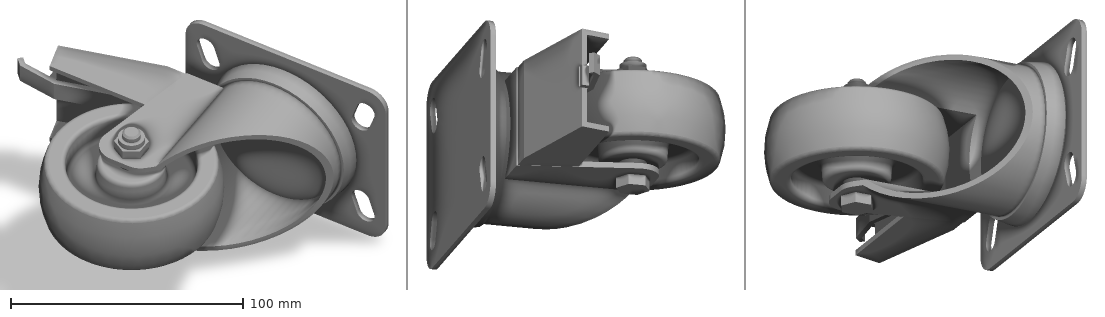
import cadquery as cq
import math


axle_offset = 39.0
mount_height = 67.0
axle_x = -axle_offset
axle_y = -mount_height

plate_length = 100.0
plate_width = 85.0
plate_thickness = 2.5
plate_corner_radius = 9.0
slot_width = 9.0
slot_outer = (40.0, 30.0)
slot_inner = (37.5, 22.5)

neck_diameter = 69.6
neck_height = 1.0
flare_diameter = 72.0
flare_height = 8.2
flare_foot_diameter = 69.2
cup_diameter = 66.0
cup_bore = 61.0

arm_thickness = 2.5
fork_width = 44.8
fork_inner_width = fork_width - 2 * arm_thickness
arm_end_radius = 10.0
arm_lean = 11.8
arm_top_left = -3.7
fork_top = 53.2
fork_roof = 3.5
skirt_angle = 43.1
skirt_shift = 4.6

brake_top_step = 0.5
brake_side_step = 0.1
brake_top = fork_top - brake_top_step
brake_width = fork_width - 2 * brake_side_step
brake_bottom = 27.0
brake_web = 2.5
brake_bend_x = -13.2
brake_slope = 15.0
brake_end_x = -60.4

pedal_width = 9.0
pedal_thickness = 2.5
pedal_bend = (-59.15, 34.7)
pedal_strip_length = 24.9
pedal_slope = 7.5
pedal_tip_slope = 46.0
pedal_tip_length = 4.8
overall_length = 170.0
hook_left = -63.4
hook_right = -60.6
hook_top = 41.2
hook_lip = 0.5
hook_ridge = 0.6

wheel_diameter = 80.0
wheel_width = 30.0
tread_radius = 40.0
rim_bore = 57.3
hub_diameter = 29.4
recess_draft = 5.0
web_thickness = 10.0
wheel_fillet = 2.0

spacer_diameter = 12.0
bolt_diameter = 8.0
hex_across_flats = 13.0
hex_height = 4.6
collar_diameter = 11.63
collar_height = 2.6
bolt_end = 32.5
bolt_chamfer = 0.9


def rise(run, degrees):
    """Height gained over a run on a slope."""
    return run * math.tan(math.radians(degrees))


def step(point, length, degrees):
    """Point reached from another by going a length in a direction."""
    angle = math.radians(degrees)
    return (point[0] + length * math.cos(angle), point[1] + length * math.sin(angle))


def slab(points, width):
    """Outline given from the axle, extruded evenly to both sides of the middle plane."""
    plane = cq.Workplane("XY", origin=(axle_x, axle_y, 0))
    return plane.polyline(points).close().extrude(width / 2, both=True)


def swivel_disc(diameter, top, height):
    """Cylinder on the swivel axis, going down (-Y) from a height."""
    return cq.Workplane("XZ", origin=(0, top, 0)).circle(diameter / 2).extrude(height)


def axle_disc(diameter, start, end):
    """Cylinder on the axle between two Z positions."""
    plane = cq.Workplane("XY", origin=(axle_x, axle_y, start))
    return plane.circle(diameter / 2).extrude(end - start)


flare_top = -plate_thickness - neck_height
flare_bottom = flare_top - flare_height
arm_top = axle_y + fork_top


def make_plate():
    plate = cq.Workplane("XZ").rect(plate_length, plate_width).extrude(plate_thickness)
    plate = plate.edges("|Y").fillet(plate_corner_radius)
    run = slot_outer[0] - slot_inner[0]
    climb = slot_outer[1] - slot_inner[1]
    middle_x = (slot_outer[0] + slot_inner[0]) / 2
    middle_z = (slot_outer[1] + slot_inner[1]) / 2
    slot_length = math.hypot(run, climb) + slot_width
    slot_tilt = math.degrees(math.atan2(climb, run))
    for side_x in (-1, 1):
        for side_z in (-1, 1):
            slot = (
                cq.Workplane("XZ")
                .center(side_x * middle_x, side_z * middle_z)
                .slot2D(slot_length, slot_width, side_x * side_z * slot_tilt)
                .extrude(plate_thickness)
            )
            plate = plate.cut(slot)
    return plate


def make_swivel_head():
    neck = swivel_disc(neck_diameter, -plate_thickness, neck_height)
    flare = (
        cq.Workplane("XZ", origin=(0, flare_top, 0))
        .circle(flare_diameter / 2)
        .workplane(offset=flare_height)
        .circle(flare_foot_diameter / 2)
        .loft()
    )
    cup_top = swivel_disc(cup_diameter, flare_bottom, flare_bottom - arm_top)
    return neck.union(flare).union(cup_top)


def make_fork():
    """Cup and two arms, trimmed to one side outline."""
    lean = math.radians(skirt_angle)
    drop = arm_end_radius / math.cos(lean)
    foot = -arm_end_radius
    cup_right = axle_offset + cup_diameter / 2
    skirt_foot_x = skirt_shift + (foot + drop) / math.tan(lean)
    skirt_right_y = rise(cup_right - skirt_shift, skirt_angle) - drop
    foot_left_x = arm_top_left - rise(fork_top - foot, arm_lean)
    outline = slab(
        [
            (arm_top_left, fork_top),
            (foot_left_x, foot),
            (skirt_foot_x, foot),
            (cup_right, skirt_right_y),
            (cup_right, fork_top),
        ],
        cup_diameter,
    )
    outline = outline.edges("|Z").edges("<Y").fillet(arm_end_radius)
    reach = fork_top - foot
    arms = slab(
        [(foot_left_x, foot), (axle_offset, foot), (axle_offset, fork_top), (foot_left_x, fork_top)],
        fork_width,
    )
    cup = swivel_disc(cup_diameter, arm_top, reach)
    return outline.intersect(arms.union(cup))


def make_brake_channel():
    end_y = brake_top - rise(brake_bend_x - brake_end_x, brake_slope)
    lip_x = brake_end_x + rise(end_y - brake_bottom, brake_slope)
    arm_edge_x = arm_top_left - rise(fork_top - brake_bottom, arm_lean)
    return slab(
        [
            (arm_top_left, brake_top),
            (brake_bend_x, brake_top),
            (brake_end_x, end_y),
            (lip_x, brake_bottom),
            (arm_edge_x, brake_bottom),
        ],
        brake_width,
    )


def make_hollow():
    """Space between the arms and inside the brake channel, with the cup's bore."""
    roof = fork_top - fork_roof
    web_drop = brake_web / math.cos(math.radians(brake_slope))
    bend_x = brake_bend_x - (brake_top - web_drop - roof) / math.tan(math.radians(brake_slope))
    far_left = 2 * brake_end_x
    between = slab(
        [
            (axle_offset, roof),
            (bend_x, roof),
            (far_left, roof - rise(bend_x - far_left, brake_slope)),
            (far_left, -mount_height),
            (axle_offset, -mount_height),
        ],
        fork_inner_width,
    )
    bore = swivel_disc(cup_bore, flare_bottom, mount_height)
    return between.union(bore)


def make_pedal():
    """Strip lying under the brake channel's web, running out into a bent foot lever."""
    tip_x = plate_length / 2 - overall_length - axle_x
    tip_run = pedal_tip_length * math.cos(math.radians(pedal_tip_slope))
    lever_run = pedal_bend[0] - tip_x - tip_run
    lower_knee = (tip_x + tip_run, pedal_bend[1] + rise(lever_run, pedal_slope))
    lower_tip = step(lower_knee, pedal_tip_length, 180 - pedal_tip_slope)
    upper_tip = step(lower_tip, pedal_thickness, 90 - pedal_tip_slope)
    half_bend = (pedal_tip_slope - pedal_slope) / 2
    knee_thickness = pedal_thickness / math.cos(math.radians(half_bend))
    upper_knee = step(lower_knee, knee_thickness, 90 - pedal_slope - half_bend)
    strip_end = step(pedal_bend, pedal_strip_length, brake_slope)
    strip_end_top = step(strip_end, pedal_thickness, 90 + brake_slope)
    strip_start_top = step(pedal_bend, pedal_thickness, 90 + brake_slope)
    hook_foot_y = upper_knee[1] - rise(hook_left - upper_knee[0], pedal_slope)
    lever = slab([pedal_bend, lower_knee, lower_tip, upper_tip, upper_knee,
                  (hook_left, hook_foot_y), strip_start_top], pedal_width)
    strip = slab([pedal_bend, strip_start_top, strip_end_top, strip_end], pedal_width)
    hook = slab(
        [
            (hook_left, hook_foot_y),
            (hook_left, hook_top - hook_lip),
            (hook_left - hook_lip, hook_top),
            (hook_right - hook_ridge, hook_top),
            (hook_right - hook_ridge, hook_top + hook_ridge),
            (hook_right, hook_top + hook_ridge),
            strip_start_top,
        ],
        pedal_width,
    )
    return lever.union(strip).union(hook)


def make_frame():
    frame = make_swivel_head().union(make_fork()).union(make_brake_channel())
    frame = frame.cut(make_hollow())
    frame = frame.union(make_plate()).union(make_pedal())
    return frame.cut(axle_disc(bolt_diameter, -fork_width, fork_width))


def make_wheel():
    """Half section revolved around the axle."""
    half = wheel_width / 2
    crown = wheel_diameter / 2
    shoulder = crown - tread_radius + math.sqrt(tread_radius**2 - half**2)
    bore = spacer_diameter / 2
    wheel = (
        cq.Workplane("XZ", origin=(axle_x, axle_y, 0))
        .moveTo(-bore, -half)
        .lineTo(-shoulder, -half)
        .threePointArc((-crown, 0), (-shoulder, half))
        .lineTo(-bore, half)
        .close()
        .revolve(360, (0, 0, 0), (0, 1, 0))
    )
    outer_edge = cq.selectors.RadiusNthSelector(-1)
    for face in ("<Z", ">Z"):
        wheel = wheel.faces(face).edges(outer_edge).fillet(wheel_fillet)
    for side in (-1, 1):
        wheel = wheel.cut(make_wheel_recess(side))
    for face in ("<Z", ">Z"):
        wheel = wheel.faces(face).edges(cq.selectors.RadiusNthSelector(1)).fillet(wheel_fillet)
        wheel = wheel.faces(face).edges(cq.selectors.RadiusNthSelector(2)).fillet(wheel_fillet)
    return wheel


def make_wheel_recess(side):
    """Drafted ring between hub and rim on one side, rounded at its floor."""
    depth = (wheel_width - web_thickness) / 2
    face = cq.Workplane("XY", origin=(axle_x, axle_y, side * wheel_width / 2))
    ring = face.circle(rim_bore / 2).extrude(-side * depth, taper=recess_draft)
    hub = face.circle(hub_diameter / 2).extrude(-side * depth, taper=-recess_draft)
    ring = ring.cut(hub)
    floor_face = "<Z" if side > 0 else ">Z"
    return ring.faces(floor_face).edges().fillet(wheel_fillet)


def make_axle():
    grip = fork_inner_width / 2
    seat = fork_width / 2
    axle = axle_disc(spacer_diameter, -grip, grip)
    axle = axle.union(axle_disc(bolt_diameter, -seat, bolt_end).faces(">Z").chamfer(bolt_chamfer))
    hex_diameter = hex_across_flats / math.cos(math.radians(30))
    for base in (-seat - hex_height, seat):
        hexagon = (
            cq.Workplane("XY", origin=(axle_x, axle_y, base))
            .transformed(rotate=(0, 0, 30))
            .polygon(6, hex_diameter)
            .extrude(hex_height)
        )
        axle = axle.union(hexagon)
    nut_top = seat + hex_height
    return axle.union(axle_disc(collar_diameter, nut_top, nut_top + collar_height))


frame = make_frame()
wheel = make_wheel()
axle = make_axle()
result = cq.Compound.makeCompound([frame.val(), wheel.val(), axle.val()])